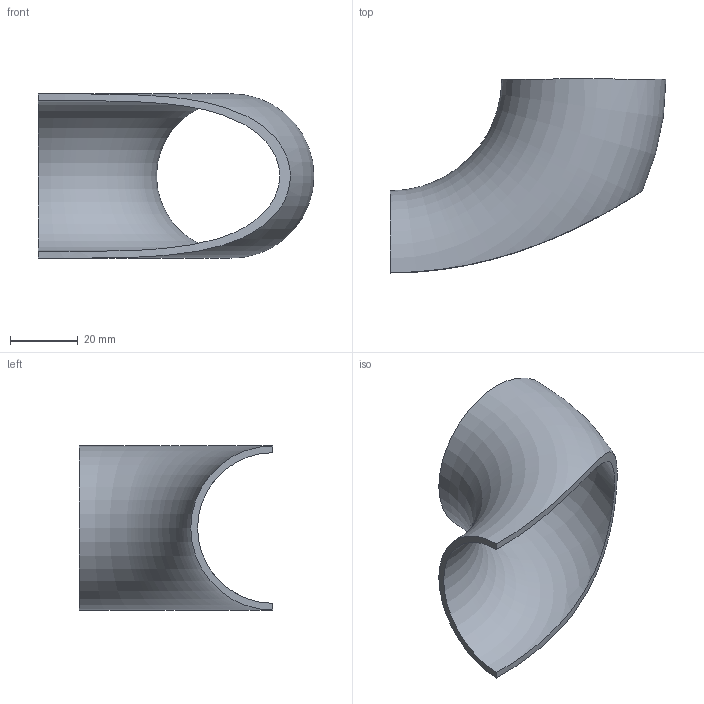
import cadquery as cq

pipe_diameter = 48.3
wall = 2.0
bend_radius = 57.0
bend_angle = 90.0

pipe_radius = pipe_diameter / 2
bore_radius = pipe_radius - wall


def make_elbow():
    """Pipe bent a quarter turn about Z, from its end at Y = 0 to its end at X = 0."""
    ring = cq.Workplane("XZ").center(bend_radius, 0).circle(pipe_radius).circle(bore_radius)
    axis_start = (-bend_radius, 0)
    axis_end = (-bend_radius, -1)
    return ring.revolve(bend_angle, axis_start, axis_end)


def make_kept_region():
    """Upright block bounded by the parabola where the elbow meets an equal straight pipe.

    The straight pipe runs along X at Y = -bend_radius. The two pipes meet on
    y = x**2 / (4 * bend_radius) - bend_radius, which is a parabola with its focus
    at the bend centre. A quadratic Bezier curve follows it exactly.
    """
    vertex = (0, -bend_radius)
    tangent_corner = (bend_radius, -bend_radius)
    far_end = (2 * bend_radius, 0)
    return (
        cq.Workplane("XY", origin=(0, 0, -pipe_diameter))
        .moveTo(0, 0)
        .lineTo(*vertex)
        .bezier([vertex, tangent_corner, far_end])
        .close()
        .extrude(2 * pipe_diameter)
    )


result = make_elbow().intersect(make_kept_region())